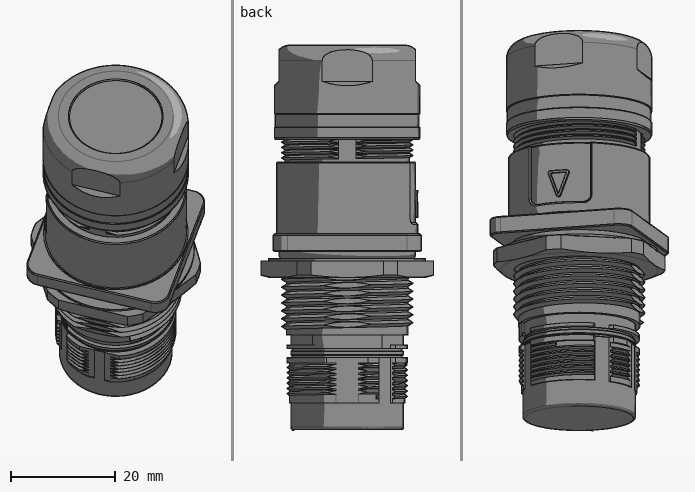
import cadquery as cq
import math


TIP_NUB_HEIGHT = 0.15
LATCH_BOTTOM = 5.2
LATCH_RING_BOTTOM = 12.85
GROOVE_BOTTOM = 13.9
GROOVE_TOP = 15.6
LOWER_RING_TOP = 16.25
MOUNT_BOTTOM = 18.2
NUT_BOTTOM = 29.2
NUT_HEX_TOP = 32.35
NUT_TOP = 32.8
FLANGE_BOTTOM = 34.1
FLANGE_TOP = 37.4
BODY_TOP = 51.2
CLAMP_BOTTOM = 55.5
CLAMP_RING_TOP = 57.9
CAP_BOTTOM = 60.3
TOTAL_HEIGHT = 73.5

PLUG_RADIUS = 21.5 / 2
PLUG_EDGE_FILLET = 0.45
GROOVE_RADIUS = 10.5
BEAD_HEIGHT = 0.9
LATCH_BASE_RADIUS = 11.0
LATCH_RING_RADIUS = 23.0 / 2
LATCH_HALF_DEPTH = 10.8
NOTCH_CORNERS = ((-7.05, -5.95), (-6.0, 6.9))
SLOT_WIDTH = 2.0
SLOT_ANGLE = 270
BLOCK_MIN_Y = 9.4
KEY_RADIUS = 10.95
KEY_WIDTH = 1.8
KEY_CENTER_X = 6.6
KEY_BOTTOM = 16.5
NUB_DIAMETER = 0.2
NUB_X = 10.3
NUB_Y = 0.6

PLUG_THREAD_BASE = 0.7
PLUG_THREAD_START_ANGLE = 120
PLUG_THREAD_START_HEIGHT = 6.3
PLUG_THREAD_RISE = 6.2
PLUG_THREAD_TURNS = 6.15
MOUNT_CORE_RADIUS = 23.2 / 2
MOUNT_CREST_RADIUS = 12.6
MOUNT_THREAD_BASE = 1.2
MOUNT_THREAD_START_ANGLE = 300
MOUNT_THREAD_START_HEIGHT = 19.55
MOUNT_THREAD_RISE = 10.5
MOUNT_THREAD_TURNS = 7
MOUNT_HALF_DEPTH = 11.7
CABLE_CORE_RADIUS = 23.8 / 2
CABLE_CREST_RADIUS = 12.6
CABLE_THREAD_BASE = 0.8
CABLE_THREAD_START_ANGLE = 0
CABLE_THREAD_START_HEIGHT = 52.0
CABLE_THREAD_RISE = 4.1
CABLE_THREAD_TURNS = 4.1
CABLE_HALF_DEPTH = 12.0
CABLE_SLOT_WIDTH = 3.4
CABLE_SLOT_ANGLES = (90, 270)

NUT_ACROSS_FLATS = 30.0
NUT_ACROSS_CORNERS = 33.0
NUT_CHAMFER_HEIGHT = 0.45
SEAL_RADIUS = 26.1 / 2
SEAL_TOP_RADIUS = 12.9
SEAL_BOTTOM_RADIUS = 12.7

FLANGE_SIDE = 28.3
FLANGE_CORNER_RADIUS = 2.8
FLANGE_CHAMFER = 0.2
BODY_RADIUS = 27.0 / 2
BODY_CHAMFER = 0.2
BODY_FOOT_WIDTH = 0.3
BODY_FOOT_HEIGHT = 0.15

PANEL_DEPTH = 0.45
PANEL_RIM_CHAMFER = 0.4
PANEL_HALF_WIDTH = 5.95
PANEL_BOTTOM = 39.6
PANEL_CORNER_RADIUS = 1.4
ARROW_TOP = 45.35
ARROW_BOTTOM = 41.1
ARROW_HALF_WIDTH = 1.6
ARROW_LINE_WIDTH = 0.45

CAP_RADIUS = 27.8 / 2
CAP_FILLET = 2.95
CAP_NECK_RADIUS = 13.75
CAP_EDGE_CHAMFER = 0.15
CLAMP_CHAMFER_WIDTH = 0.15
CLAMP_CHAMFER_HEIGHT = 0.4
CAP_ACROSS_FLATS = 26.1
CAP_FLAT_BOTTOM = 66.6
RIM_RADIUS = 18.1 / 2
RIM_CHAMFER = 0.2

OVERLAP = 0.15
OUTSIDE = 44.1


def cylinder(radius, bottom, top):
    return cq.Workplane("XY").workplane(offset=bottom).circle(radius).extrude(top - bottom)


def slab(half_depth, bottom, top):
    """Everything between the two flats at Y = -half_depth and Y = +half_depth."""
    plane = cq.Workplane("XY").workplane(offset=bottom)
    return plane.rect(OUTSIDE, 2 * half_depth).extrude(top - bottom)


def thread_ridge(core_radius, crest_radius, rise, base_width, start_angle, start_height, turns):
    """Right-handed V ridge whose crest starts at the given angle and height.

    base_width is measured on the core; the V goes on inward so that it sinks into the core.
    """
    root_radius = core_radius - OVERLAP
    half_root = base_width / 2 * (crest_radius - root_radius) / (crest_radius - core_radius)
    profile = (
        cq.Workplane("XZ")
        .moveTo(root_radius, -half_root)
        .lineTo(crest_radius, 0)
        .lineTo(root_radius, half_root)
        .close()
    )
    path = cq.Workplane("XY").add(cq.Wire.makeHelix(rise / turns, rise, core_radius))
    ridge = profile.sweep(path, isFrenet=True)
    return ridge.rotate((0, 0, 0), (0, 0, 1), start_angle).translate((0, 0, start_height))


def radial_slot(width, floor_radius, angle, bottom, top):
    """Cutter for a parallel-sided slot that goes in to the given radius."""
    plane = cq.Workplane("XY").workplane(offset=bottom)
    bar = plane.center(OUTSIDE / 2, 0).rect(OUTSIDE, width).extrude(top - bottom)
    bar = bar.cut(cylinder(floor_radius, bottom, top))
    return bar.rotate((0, 0, 0), (0, 0, 1), angle)


def notches(bottom, top):
    """Cutters for the wide notches: one wall along X and one along Y, down to the plug surface."""
    cutters = cq.Workplane("XY")
    for corner_x, corner_y in NOTCH_CORNERS:
        far_x = math.copysign(OUTSIDE, corner_x)
        far_y = math.copysign(OUTSIDE, corner_y)
        plane = cq.Workplane("XY").workplane(offset=bottom)
        plane = plane.center((corner_x + far_x) / 2, (corner_y + far_y) / 2)
        block = plane.rect(abs(far_x - corner_x), abs(far_y - corner_y)).extrude(top - bottom)
        cutters = cutters.add(block)
    return cutters.combine().cut(cylinder(PLUG_RADIUS - OVERLAP, bottom, top))


def plug_core():
    shaft = cylinder(PLUG_RADIUS, TIP_NUB_HEIGHT, GROOVE_BOTTOM)
    shaft = shaft.faces("<Z").edges().fillet(PLUG_EDGE_FILLET)
    groove = cylinder(GROOVE_RADIUS, GROOVE_BOTTOM, GROOVE_TOP)
    bead_bottom = (GROOVE_BOTTOM + GROOVE_TOP - BEAD_HEIGHT) / 2
    bead = cylinder(PLUG_RADIUS, bead_bottom, bead_bottom + BEAD_HEIGHT)
    bead = bead.edges().chamfer((PLUG_RADIUS - GROOVE_RADIUS) / 2)
    neck = cylinder(PLUG_RADIUS, GROOVE_TOP, MOUNT_BOTTOM)
    nub = cylinder(NUB_DIAMETER / 2, 0, LATCH_BOTTOM).translate((NUB_X, NUB_Y, 0))
    return shaft.union(groove).union(bead).union(neck).union(nub)


def latch_panels():
    """Threaded panels around the plug, parted by slots and flattened on the Y sides."""
    panels = cylinder(LATCH_BASE_RADIUS, LATCH_BOTTOM, GROOVE_BOTTOM)
    panels = panels.union(cylinder(LATCH_RING_RADIUS, LATCH_RING_BOTTOM, GROOVE_BOTTOM))
    panels = panels.union(
        thread_ridge(
            LATCH_BASE_RADIUS,
            LATCH_RING_RADIUS,
            PLUG_THREAD_RISE,
            PLUG_THREAD_BASE,
            PLUG_THREAD_START_ANGLE,
            PLUG_THREAD_START_HEIGHT,
            PLUG_THREAD_TURNS,
        )
    )
    panels = panels.intersect(slab(LATCH_HALF_DEPTH, LATCH_BOTTOM, GROOVE_BOTTOM))
    slot_floor = PLUG_RADIUS - OVERLAP
    slot = radial_slot(SLOT_WIDTH, slot_floor, SLOT_ANGLE, LATCH_BOTTOM, GROOVE_BOTTOM)
    return panels.cut(slot).cut(notches(LATCH_BOTTOM, GROOVE_BOTTOM))


def lower_ring():
    """Ring above the groove, with a taller block on the +Y side and a low key on the -Y side."""
    rim = cylinder(LATCH_RING_RADIUS, GROOVE_TOP, LOWER_RING_TOP)
    rim = rim.cut(notches(GROOVE_TOP, LOWER_RING_TOP))
    beyond_block = slab(OUTSIDE, GROOVE_TOP, MOUNT_BOTTOM).translate((0, BLOCK_MIN_Y + OUTSIDE, 0))
    block = cylinder(LATCH_RING_RADIUS, GROOVE_TOP, MOUNT_BOTTOM).intersect(beyond_block)
    key_zone = cq.Workplane("XY").workplane(offset=KEY_BOTTOM).center(KEY_CENTER_X, -OUTSIDE / 2)
    key_zone = key_zone.rect(KEY_WIDTH, OUTSIDE).extrude(MOUNT_BOTTOM - KEY_BOTTOM)
    key = cylinder(KEY_RADIUS, KEY_BOTTOM, MOUNT_BOTTOM).intersect(key_zone)
    return rim.union(block).union(key)


def mount_thread():
    core = cylinder(MOUNT_CORE_RADIUS, MOUNT_BOTTOM, NUT_HEX_TOP)
    ridge = thread_ridge(
        MOUNT_CORE_RADIUS,
        MOUNT_CREST_RADIUS,
        MOUNT_THREAD_RISE,
        MOUNT_THREAD_BASE,
        MOUNT_THREAD_START_ANGLE,
        MOUNT_THREAD_START_HEIGHT,
        MOUNT_THREAD_TURNS,
    )
    return core.union(ridge).intersect(slab(MOUNT_HALF_DEPTH, MOUNT_BOTTOM, NUT_HEX_TOP))


def jam_nut():
    corner_radius = NUT_ACROSS_CORNERS / 2
    seat_radius = NUT_ACROSS_FLATS / 2
    across_sharp_corners = NUT_ACROSS_FLATS / math.cos(math.pi / 6)
    hexagon = cq.Workplane("XY").workplane(offset=NUT_BOTTOM)
    hexagon = hexagon.polygon(6, across_sharp_corners).extrude(NUT_HEX_TOP - NUT_BOTTOM)
    envelope = cylinder(corner_radius, NUT_BOTTOM, NUT_HEX_TOP)
    envelope = envelope.faces("<Z").chamfer(NUT_CHAMFER_HEIGHT, corner_radius - seat_radius)
    return hexagon.intersect(envelope).union(cylinder(seat_radius, NUT_HEX_TOP, NUT_TOP))


def flange():
    seal = (
        cq.Workplane("XZ")
        .moveTo(0, NUT_TOP)
        .lineTo(SEAL_BOTTOM_RADIUS, NUT_TOP)
        .threePointArc((SEAL_RADIUS, (NUT_TOP + FLANGE_BOTTOM) / 2), (SEAL_TOP_RADIUS, FLANGE_BOTTOM))
        .lineTo(0, FLANGE_BOTTOM)
        .close()
        .revolve(360, (0, 0), (0, 1))
    )
    plate = cq.Workplane("XY").workplane(offset=FLANGE_BOTTOM).rect(FLANGE_SIDE, FLANGE_SIDE)
    plate = plate.extrude(FLANGE_TOP - FLANGE_BOTTOM)
    plate = plate.edges("|Z").fillet(FLANGE_CORNER_RADIUS)
    plate = plate.faces("<Z or >Z").chamfer(FLANGE_CHAMFER)
    return seal.union(plate)


def panel_rim(barrel):
    """Edges where the walls of the panel meet the barrel."""

    def on_rim(edge):
        start = edge.startPoint()
        center = edge.Center()
        on_barrel = math.isclose(math.hypot(start.x, start.y), BODY_RADIUS, abs_tol=0.0001)
        return on_barrel and center.x < 0 and FLANGE_TOP < center.z < BODY_TOP - 2 * BODY_CHAMFER

    return barrel.edges().filter(on_rim)


def arrow_opening():
    corners = [(-ARROW_HALF_WIDTH, ARROW_TOP), (ARROW_HALF_WIDTH, ARROW_TOP), (0, ARROW_BOTTOM)]
    return cq.Workplane("YZ").polyline(corners).close()


def arrow(floor):
    """Raised outline of a downward-pointing triangle on the panel."""
    frame = arrow_opening().offset2D(ARROW_LINE_WIDTH).extrude(-OUTSIDE / 2)
    frame = frame.cut(arrow_opening().extrude(-OUTSIDE / 2))
    return frame.intersect(cylinder(BODY_RADIUS, FLANGE_TOP, BODY_TOP)).cut(floor)


def body():
    """Barrel with a shallow U-shaped panel whose floor follows the barrel."""
    barrel = cylinder(BODY_RADIUS, FLANGE_TOP, BODY_TOP).faces(">Z").chamfer(BODY_CHAMFER)
    floor = cylinder(BODY_RADIUS - PANEL_DEPTH, FLANGE_TOP, BODY_TOP)
    floor = floor.faces(">Z").chamfer(BODY_CHAMFER)
    open_top = BODY_TOP + PANEL_CORNER_RADIUS
    panel = cq.Workplane("YZ", origin=(0, 0, (PANEL_BOTTOM + open_top) / 2))
    panel = panel.rect(2 * PANEL_HALF_WIDTH, open_top - PANEL_BOTTOM).extrude(-OUTSIDE / 2)
    panel = panel.edges("|X").fillet(PANEL_CORNER_RADIUS)
    barrel = barrel.cut(panel.cut(floor))
    barrel = panel_rim(barrel).chamfer(PANEL_RIM_CHAMFER)
    foot = cylinder(BODY_RADIUS + BODY_FOOT_WIDTH, FLANGE_TOP, FLANGE_TOP + BODY_FOOT_HEIGHT)
    return barrel.union(foot).union(arrow(floor))


def cable_thread():
    core = cylinder(CABLE_CORE_RADIUS, BODY_TOP, CLAMP_RING_TOP)
    ridge = thread_ridge(
        CABLE_CORE_RADIUS,
        CABLE_CREST_RADIUS,
        CABLE_THREAD_RISE,
        CABLE_THREAD_BASE,
        CABLE_THREAD_START_ANGLE,
        CABLE_THREAD_START_HEIGHT,
        CABLE_THREAD_TURNS,
    )
    thread = core.union(ridge)
    slot_floor = CABLE_CORE_RADIUS - OVERLAP
    for angle in CABLE_SLOT_ANGLES:
        thread = thread.cut(radial_slot(CABLE_SLOT_WIDTH, slot_floor, angle, BODY_TOP, CAP_BOTTOM))
    thread = thread.union(core)
    return thread.intersect(slab(CABLE_HALF_DEPTH, BODY_TOP, CAP_BOTTOM))


def clamp_ring():
    collar = cylinder(CAP_RADIUS, CLAMP_BOTTOM, CLAMP_RING_TOP)
    collar = collar.faces("<Z").chamfer(CLAMP_CHAMFER_HEIGHT, CLAMP_CHAMFER_WIDTH)
    collar = collar.faces(">Z").chamfer(CAP_EDGE_CHAMFER)
    return collar.union(cylinder(CAP_NECK_RADIUS, CLAMP_RING_TOP, CAP_BOTTOM))


def cap():
    dome = cylinder(CAP_RADIUS, CAP_BOTTOM, TOTAL_HEIGHT).faces(">Z").edges().fillet(CAP_FILLET)
    dome = dome.faces("<Z").chamfer(CAP_EDGE_CHAMFER)
    half_flats = CAP_ACROSS_FLATS / 2
    step = CAP_RADIUS - half_flats
    flat_cutter = (
        cq.Workplane("XZ")
        .moveTo(half_flats, TOTAL_HEIGHT)
        .lineTo(half_flats, CAP_FLAT_BOTTOM)
        .lineTo(half_flats + 2 * step, CAP_FLAT_BOTTOM - 2 * step)
        .lineTo(half_flats + 2 * step, TOTAL_HEIGHT)
        .close()
        .extrude(OUTSIDE / 2, both=True)
    )
    for angle in (0, 90, 180, 270):
        dome = dome.cut(flat_cutter.rotate((0, 0, 0), (0, 0, 1), angle))
    rim = cq.Workplane("XY").workplane(offset=TOTAL_HEIGHT).circle(RIM_RADIUS)
    recess = rim.extrude(-RIM_CHAMFER, taper=45)
    return dome.cut(recess)


result = plug_core()
for piece in (
    latch_panels(),
    lower_ring(),
    mount_thread(),
    jam_nut(),
    flange(),
    body(),
    cable_thread(),
    clamp_ring(),
    cap(),
):
    result = result.union(piece)